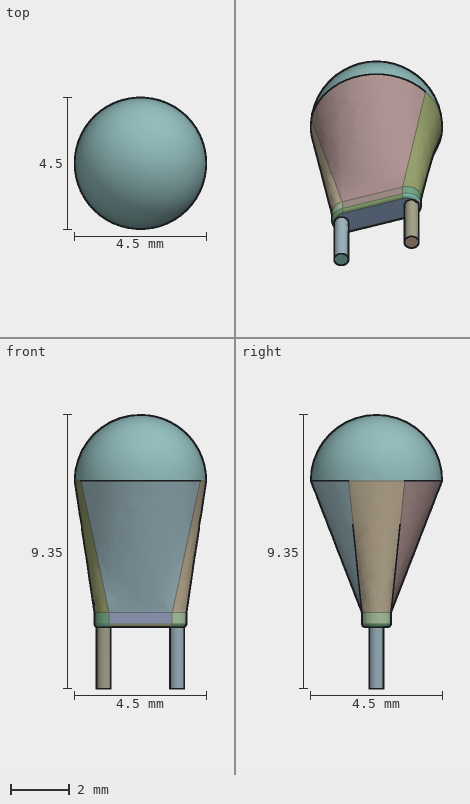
import cadquery as cq
import math

total_height = 9.35
bulb_diameter = 4.5
bulb_radius = bulb_diameter / 2
equator_z = total_height - bulb_radius

base_length = 3.15
base_width = 1.0
base_bottom_z = 2.1
base_height = 0.505
base_top_z = base_bottom_z + base_height
base_edge_radius = 0.12

lead_diameter = 0.5
lead_spacing = 2.51

end_arc_half_angle = 25.2


def equator_outline(plane):
    """Add the bulb circle as four arcs: two over the X ends, two over the Y sides."""
    angle = math.radians(end_arc_half_angle)
    corner_x = bulb_radius * math.cos(angle)
    corner_y = bulb_radius * math.sin(angle)
    return (
        plane.moveTo(-corner_x, -corner_y)
        .threePointArc((0, -bulb_radius), (corner_x, -corner_y))
        .threePointArc((bulb_radius, 0), (corner_x, corner_y))
        .threePointArc((0, bulb_radius), (-corner_x, corner_y))
        .threePointArc((-bulb_radius, 0), (-corner_x, -corner_y))
        .close()
    )


def stadium_outline(plane):
    """Add the base outline, started at the same corner as the bulb outline."""
    corner_x = (base_length - base_width) / 2
    corner_y = base_width / 2
    end_x = base_length / 2
    return (
        plane.moveTo(-corner_x, -corner_y)
        .lineTo(corner_x, -corner_y)
        .threePointArc((end_x, 0), (corner_x, corner_y))
        .lineTo(-corner_x, corner_y)
        .threePointArc((-end_x, 0), (-corner_x, -corner_y))
        .close()
    )


def make_base():
    slab = stadium_outline(cq.Workplane("XY", origin=(0, 0, base_bottom_z))).extrude(base_height)
    return slab.faces("<Z").edges().fillet(base_edge_radius)


def make_neck():
    """Straight-ruled transition from the base outline up to the bulb equator."""
    base_plane = cq.Workplane("XY", origin=(0, 0, base_top_z))
    equator_plane = stadium_outline(base_plane).workplane(offset=equator_z - base_top_z)
    return equator_outline(equator_plane).loft(ruled=True)


def make_dome():
    return (
        cq.Workplane("XZ", origin=(0, 0, equator_z))
        .lineTo(bulb_radius, 0)
        .radiusArc((0, bulb_radius), -bulb_radius)
        .close()
        .revolve(360, (0, 0), (0, 1))
    )


def make_leads():
    return (
        cq.Workplane("XY")
        .pushPoints([(-lead_spacing / 2, 0), (lead_spacing / 2, 0)])
        .circle(lead_diameter / 2)
        .extrude(base_bottom_z)
    )


result = make_base().union(make_neck()).union(make_dome()).union(make_leads())